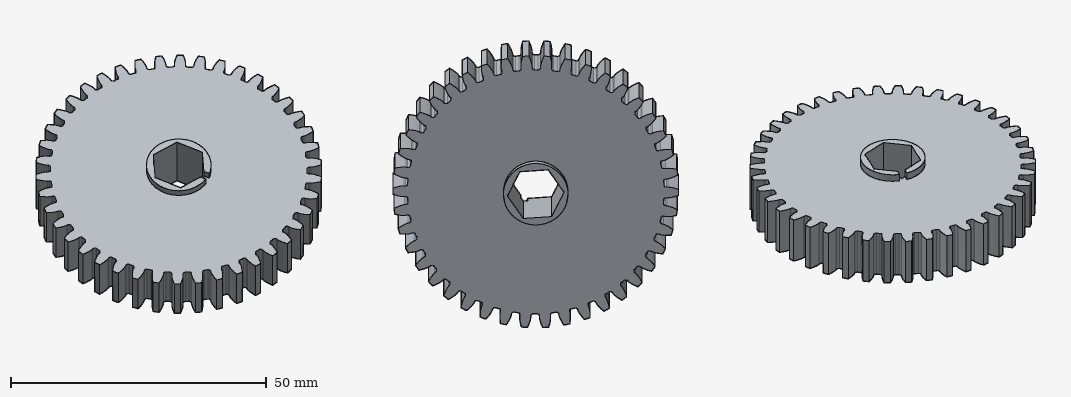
import cadquery as cq
import math

TOOTH_COUNT = 42
OUTER_DIAMETER = 55.9
PRESSURE_ANGLE = math.radians(14.5)
ADDENDUM_FACTOR = 1.0
DEDENDUM_FACTOR = 1.25
ROOT_FILLET = 0.45
FLANK_STEPS = 4

GEAR_THICKNESS = 9.6
HUB_HEIGHT = 1.5
HUB_DIAMETER = 12.65
HEX_ACROSS_FLATS = 9.6
NOTCH_WIDTH = 1.5

module = OUTER_DIAMETER / (TOOTH_COUNT + 2 * ADDENDUM_FACTOR)
outer_radius = OUTER_DIAMETER / 2
pitch_radius = module * TOOTH_COUNT / 2
base_radius = pitch_radius * math.cos(PRESSURE_ANGLE)
root_radius = pitch_radius - DEDENDUM_FACTOR * module
tooth_pitch = 2 * math.pi / TOOTH_COUNT
total_height = GEAR_THICKNESS + 2 * HUB_HEIGHT
hub_radius = HUB_DIAMETER / 2
hex_across_corners = HEX_ACROSS_FLATS / math.cos(math.pi / 6)


def involute(angle):
    return math.tan(angle) - angle


def polar(radius, angle):
    return (radius * math.cos(angle), radius * math.sin(angle))


def tooth_half_angle(radius):
    """Half the angle a tooth spans at a radius on its involute flank."""
    flank_angle = math.acos(min(1.0, base_radius / radius))
    return tooth_pitch / 4 + involute(PRESSURE_ANGLE) - involute(flank_angle)


def gear_outline():
    """Closed outline of all teeth, with a tooth space centred on +X."""
    flank_radii = [
        base_radius + (outer_radius - base_radius) * step / FLANK_STEPS
        for step in range(FLANK_STEPS + 1)
    ]
    base_half_angle = tooth_half_angle(base_radius)
    tip_half_angle = tooth_half_angle(outer_radius)

    outline = cq.Workplane("XY").moveTo(*polar(root_radius, tooth_pitch / 2 - base_half_angle))
    for tooth in range(TOOTH_COUNT):
        center = (tooth + 0.5) * tooth_pitch
        rising = [polar(r, center - tooth_half_angle(r)) for r in flank_radii]
        falling = [polar(r, center + tooth_half_angle(r)) for r in reversed(flank_radii)]
        next_space = center + tooth_pitch / 2
        next_root = polar(root_radius, center + tooth_pitch - base_half_angle)

        outline = outline.lineTo(*rising[0]).spline(rising[1:], includeCurrent=True)
        tip_end = polar(outer_radius, center + tip_half_angle)
        outline = outline.threePointArc(polar(outer_radius, center), tip_end)
        outline = outline.spline(falling[1:], includeCurrent=True)
        outline = outline.lineTo(*polar(root_radius, center + base_half_angle))
        outline = outline.threePointArc(polar(root_radius, next_space), next_root)
    return outline.close()


def toothed_disc():
    disc = gear_outline().extrude(GEAR_THICKNESS).translate((0, 0, -GEAR_THICKNESS / 2))
    selection_radius = (root_radius + base_radius) / 2
    root_corners = [
        edge
        for edge in disc.edges("|Z").vals()
        if math.hypot(edge.Center().x, edge.Center().y) < selection_radius
    ]
    return disc.newObject(root_corners).fillet(ROOT_FILLET)


def hubs():
    return cq.Workplane("XY").circle(hub_radius).extrude(total_height).translate((0, 0, -total_height / 2))


def hex_bore():
    return cq.Workplane("XY").polygon(6, hex_across_corners).extrude(total_height / 2, both=True)


def hub_notch():
    """Radial slot through the +X wall of the upper hub, down to the gear face."""
    return (
        cq.Workplane("XY")
        .workplane(offset=GEAR_THICKNESS / 2)
        .center(hub_radius / 2, 0)
        .rect(hub_radius, NOTCH_WIDTH)
        .extrude(HUB_HEIGHT)
    )


result = toothed_disc().union(hubs()).cut(hex_bore()).cut(hub_notch())